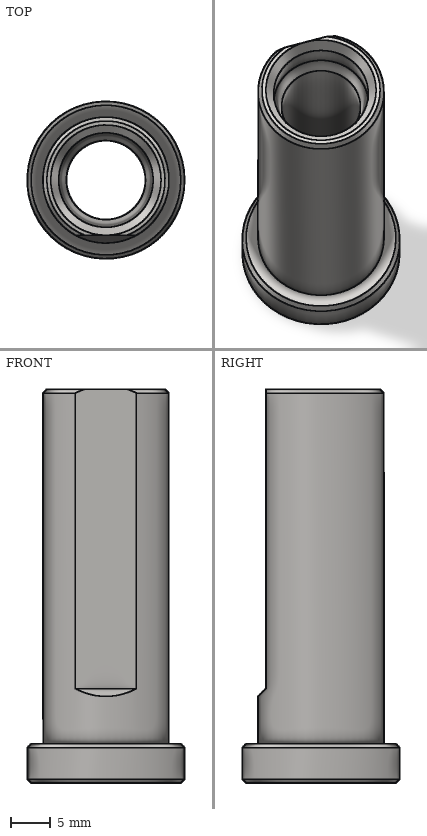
import cadquery as cq

total_height = 50.0
flange_diameter = 20.0
flange_height = 5.0
shank_diameter = 16.0
outer_chamfer = 0.5

bore_diameter = 10.0
counterbore_diameter = 12.0
bore_step = (counterbore_diameter - bore_diameter) / 2
counterbore_depth = 4.0
mouth_chamfer = 1.0

flat_cut_depth = 1.0
flat_bottom_z = 12.0


def make_body():
    """Flange and shank with chamfered rims."""
    flange = cq.Workplane("XY").circle(flange_diameter / 2).extrude(flange_height)
    flange = flange.faces("<Z or >Z").chamfer(outer_chamfer)
    shank = cq.Workplane("XY").circle(shank_diameter / 2).extrude(total_height)
    shank = shank.faces(">Z").chamfer(outer_chamfer)
    return flange.union(shank)


def make_bore():
    """Revolved cutter: through bore, conical step, counterbore and mouth chamfer."""
    bore_radius = bore_diameter / 2
    counterbore_radius = counterbore_diameter / 2
    counterbore_floor_z = total_height - counterbore_depth
    return (
        cq.Workplane("XZ")
        .moveTo(0, 0)
        .lineTo(bore_radius, 0)
        .lineTo(bore_radius, counterbore_floor_z - bore_step)
        .lineTo(counterbore_radius, counterbore_floor_z)
        .lineTo(counterbore_radius, total_height - mouth_chamfer)
        .lineTo(counterbore_radius + mouth_chamfer, total_height)
        .lineTo(0, total_height)
        .close()
        .revolve(360, (0, 0, 0), (0, 1, 0))
    )


def make_flat_cutter():
    """Prism that removes the flat and its sloped run-out."""
    shank_radius = shank_diameter / 2
    flat_y = -(shank_radius - flat_cut_depth)
    return (
        cq.Workplane("YZ")
        .moveTo(flat_y, total_height)
        .lineTo(flat_y, flat_bottom_z)
        .lineTo(-shank_radius, flat_bottom_z - flat_cut_depth)
        .lineTo(-shank_radius, total_height)
        .close()
        .extrude(shank_radius, both=True)
    )


result = make_body().cut(make_bore()).cut(make_flat_cutter())